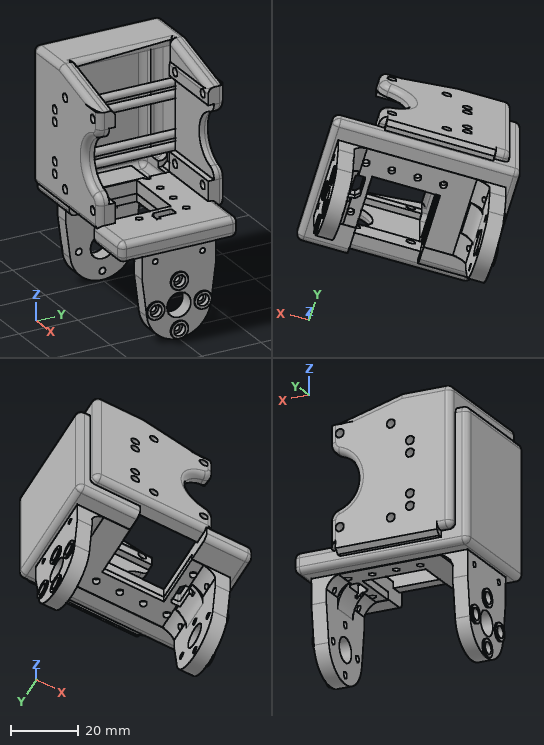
import cadquery as cq
import math


round_radius = 2.0
grid = 8.0
through = 200.0
tolerance = 0.01
mostly_along = 0.9
straight_along = 0.999

base_half_x = 29.0
base_half_y = 18.5
base_bottom = 19.2
base_top = 26.0

box_top = 63.0
box_right = -20.0

shell_left = -25.0
shell_right = 15.4
shell_half_y = 21.5
shell_bottom = 24.0
shell_top = 69.45
slope_start = -8.4
arm_inner_y = 16.0

cheek_inner_y = 15.75
recess_depth = 2.0
mount_left = -20.3
mount_top = box_top
lower_rib_bottom = 22.0
lower_rib_chamfer = 1.5

servo_z = 45.0
notch_radius = 9.2
skin_depth = 2.4
notch_half_height = 12.4
notch_corner_radius = (notch_half_height**2 - notch_radius**2) / (2 * notch_radius)
side_hole_diameter = 2.7
servo_hole_x = (-5.0, 12.0)
servo_hole_offset_z = 15.0
pair_hole_x = -11.35
pair_center_z = 43.05
pair_offsets_z = (-10.5, -6.5, 6.5, 10.5)

window_left = -8.0
window_right = 13.0
window_back = 4.4
plate_hole_diameter = 2.1
plate_holes = [(-grid, grid), (0, grid), (grid, grid), (2 * grid, grid), (2 * grid, -grid)]

slot_left = 14.75
slot_right = 17.9
slot_back = 3.6
slot_front = -3.6
slot_corner_radius = 0.6
slot_chamfer = 1.2
slot_branch_right = 18.95
slot_branch_back = -2.3

bracket_half_x = 26.0
bracket_half_y = 12.5
bracket_bottom = 19.0
bracket_plate = 2.6
leg_thickness = 5.0
leg_taper_top = 11.0
leg_end_radius = 11.0
corner_size = 4.0
corner_arc_radius = 6.0
rib_half_y = 5.0
rib_drop = 7.5
rib_reach = 3.8
rib_bulge = (1.3, 2.8)
hinge_diameter = 8.0
leg_hole_diameter = 1.7
leg_hole_z = 2 * grid
boss_diameter = 5.8
boss_height = 0.5
counterbore_diameter = 3.8
counterbore_depth = 2.0
screw_diameter = 2.1


def block(x0, x1, y0, y1, z0, z1):
    return cq.Workplane("XY").box(x1 - x0, y1 - y0, z1 - z0, centered=False).translate((x0, y0, z0))


def z_holes(points, diameter):
    return cq.Workplane("XY").pushPoints(points).circle(diameter / 2).extrude(through)


def y_holes(points, diameter):
    return cq.Workplane("XZ").pushPoints(points).circle(diameter / 2).extrude(through / 2, both=True)


def x_holes(points, diameter):
    return cq.Workplane("YZ").pushPoints(points).circle(diameter / 2).extrude(through / 2, both=True)


def plate_openings():
    """Window and cable slot that pass through both the housing floor and the bracket plate."""
    window = block(window_left, window_right, -through, window_back, 0, base_top)
    slot = block(slot_left, slot_right, slot_front, slot_back, 0, base_top)
    slot = slot.edges("|Z and >Y").fillet(slot_corner_radius)
    slot = slot.edges("|Z and <X and <Y").chamfer(slot_chamfer)
    branch = block(slot_right, slot_branch_right, slot_front, slot_branch_back, 0, base_top)
    return window.union(slot).union(branch)


def mirror_y(body):
    return body.mirror("XZ")


def shell():
    """Rounded block opened from the +X side into two arms with sloping tops."""
    outline = [
        (shell_left, shell_bottom),
        (shell_right, shell_bottom),
        (shell_right, mount_top),
        (slope_start, shell_top),
        (shell_left, shell_top),
    ]
    body = cq.Workplane("XZ").polyline(outline).close().extrude(shell_half_y, both=True)
    outer_edges = body.faces("<X or >Y or <Y").edges()
    body = outer_edges.filter(lambda edge: edge.Center().x < shell_right - round_radius).fillet(round_radius)

    body = body.cut(block(slope_start, through, -arm_inner_y, arm_inner_y, 0, through))

    def on_arm_rim(edge):
        center = edge.Center()
        on_wall = abs(abs(center.y) - arm_inner_y) < tolerance
        return on_wall and center.z > mount_top and abs(edge.tangentAt(0.5).x) > mostly_along

    body = body.edges().filter(on_arm_rim).fillet(round_radius)
    return body.cut(opening_rim())


def opening_rim():
    """Material between a sharp and a rounded rim along the back of the opening, mitred at its corners."""
    flare = arm_inner_y + round_radius
    along_y = (
        cq.Workplane("XZ")
        .moveTo(slope_start, shell_top)
        .lineTo(slope_start - round_radius, shell_top)
        .radiusArc((slope_start, shell_top - round_radius), round_radius)
        .close()
        .extrude(flare, both=True)
    )
    flared_opening = (
        cq.Workplane("YZ")
        .moveTo(-flare, shell_top)
        .radiusArc((-arm_inner_y, shell_top - round_radius), round_radius)
        .lineTo(arm_inner_y, shell_top - round_radius)
        .radiusArc((flare, shell_top), round_radius)
        .close()
        .extrude(through / 2, both=True)
    )
    return along_y.intersect(flared_opening)


def notch():
    """Round bite in the arm ends, blended into the end face by two corner arcs."""
    corner_share = notch_radius / (notch_radius + notch_corner_radius)
    blend_x = shell_right - notch_corner_radius * corner_share
    blend_z = notch_half_height * corner_share
    half_turn = math.atan2(notch_half_height, notch_corner_radius) / 2
    corner_x = shell_right - notch_corner_radius * (1 - math.cos(half_turn))
    corner_z = notch_half_height - notch_corner_radius * math.sin(half_turn)
    return (
        cq.Workplane("XZ", origin=(0, 0, servo_z))
        .moveTo(shell_right, notch_half_height)
        .threePointArc((corner_x, corner_z), (blend_x, blend_z))
        .threePointArc((shell_right - notch_radius, 0), (blend_x, -blend_z))
        .threePointArc((corner_x, -corner_z), (shell_right, -notch_half_height))
        .close()
        .extrude(through / 2, both=True)
    )


def servo_mount():
    """Flat cheek on the -Y arm; its outer end edge is rounded along the notch."""
    cheek = block(mount_left, shell_right, -shell_half_y, -cheek_inner_y, shell_bottom, mount_top)
    cheek = cheek.edges(">Y and >Z").fillet(round_radius)
    cheek = cheek.cut(notch())
    end_edges = cheek.faces("<Y").edges().filter(
        lambda edge: edge.Center().x > mount_left + tolerance and abs(edge.tangentAt(0.5).x) < straight_along)
    bottom_edge = cheek.edges("<Y and <Z")
    return cheek.newObject(end_edges.vals() + bottom_edge.vals()).fillet(round_radius)


def base():
    """Rounded floor plate, wider towards -Y at its +X end, and the tall box at its -X end."""
    floor = block(-base_half_x, base_half_x, -base_half_y, base_half_y, base_bottom, base_top)
    wide = block(0, base_half_x, -shell_half_y, base_half_y, base_bottom, base_top)
    box = block(-base_half_x, box_right, -base_half_y, base_half_y, base_bottom, box_top)
    body = floor.edges().fillet(round_radius)
    body = body.union(wide.edges().fillet(round_radius))
    return body.union(box.edges("<X or >Z or <Z or <Y or >Y").fillet(round_radius))


def lower_rib():
    """Chamfered rib under the +Y arm."""
    rib = block(mount_left, shell_right - round_radius, arm_inner_y, shell_half_y,
                lower_rib_bottom, shell_bottom + round_radius)
    return rib.edges(">Y and <Z").chamfer(lower_rib_chamfer)


def bracket_recess():
    """Space under the floor plate that the bracket plate fills."""
    return block(-bracket_half_x, bracket_half_x, -bracket_half_y, bracket_half_y,
                 bracket_bottom, bracket_bottom + bracket_plate)


def make_housing():
    arms = shell()
    skin_left = shell_right - notch_radius - 2 * round_radius
    skin_y = shell_half_y - skin_depth
    skin = block(skin_left, shell_right, -shell_half_y, -skin_y, 0, mount_top)
    arms = arms.cut(skin).cut(mirror_y(skin))
    arms = arms.cut(notch())
    cheek = servo_mount()
    floor = base().cut(plate_openings()).cut(z_holes(plate_holes, plate_hole_diameter))
    body = arms.union(cheek).union(mirror_y(cheek)).union(floor).union(lower_rib())
    recess_y = cheek_inner_y + recess_depth
    body = body.cut(block(slope_start, shell_right, -recess_y, recess_y,
                          servo_z - notch_half_height, servo_z + notch_half_height))
    servo_holes = [(x, servo_z + side * servo_hole_offset_z) for x in servo_hole_x for side in (-1, 1)]
    pair_holes = [(pair_hole_x, pair_center_z + offset) for offset in pair_offsets_z]
    body = body.cut(y_holes(servo_holes + pair_holes, side_hole_diameter))
    return body.cut(bracket_recess())


def leg():
    """Leg on the +X side: tapered plate with a round end about the hinge axis."""
    taper_rise = math.hypot(bracket_half_y, leg_taper_top)
    taper_angle = math.acos(leg_end_radius / taper_rise) - math.atan2(leg_taper_top, bracket_half_y)
    tangent_y = leg_end_radius * math.cos(taper_angle)
    tangent_z = -leg_end_radius * math.sin(taper_angle)
    top = bracket_bottom + bracket_plate
    body = (
        cq.Workplane("YZ", origin=(bracket_half_x - leg_thickness, 0, 0))
        .moveTo(-bracket_half_y, top)
        .lineTo(-bracket_half_y, leg_taper_top)
        .lineTo(-tangent_y, tangent_z)
        .threePointArc((0, -leg_end_radius), (tangent_y, tangent_z))
        .lineTo(bracket_half_y, leg_taper_top)
        .lineTo(bracket_half_y, top)
        .close()
        .extrude(leg_thickness)
    )
    screws = [(grid, 0), (-grid, 0), (0, grid), (0, -grid)]
    outer = cq.Workplane("YZ", origin=(bracket_half_x, 0, 0)).pushPoints(screws)
    body = body.union(outer.circle(boss_diameter / 2).extrude(boss_height))
    sink = cq.Workplane("YZ", origin=(bracket_half_x + boss_height, 0, 0)).pushPoints(screws)
    body = body.cut(sink.circle(counterbore_diameter / 2).extrude(-counterbore_depth))
    return body.cut(x_holes(screws, screw_diameter)).cut(x_holes([(0, 0)], hinge_diameter))


def inner_corner():
    """Curved fill between the +X leg and the plate, with a longer rib in its middle."""
    inner = bracket_half_x - leg_thickness
    fill = (
        cq.Workplane("XZ")
        .moveTo(inner, bracket_bottom)
        .lineTo(inner - corner_size, bracket_bottom)
        .radiusArc((inner, bracket_bottom - corner_size), corner_arc_radius)
        .close()
        .extrude(bracket_half_y, both=True)
    )
    rib = (
        cq.Workplane("XZ")
        .moveTo(inner, bracket_bottom)
        .lineTo(inner - rib_reach, bracket_bottom)
        .threePointArc((inner - rib_bulge[0], bracket_bottom - rib_bulge[1]), (inner, bracket_bottom - rib_drop))
        .close()
        .extrude(rib_half_y, both=True)
    )
    return fill.union(rib)


def make_bracket():
    side = leg().union(inner_corner())
    body = bracket_recess().union(side).union(side.mirror("YZ"))
    leg_holes = [(grid, leg_hole_z), (-grid, leg_hole_z)]
    body = body.cut(x_holes(leg_holes, leg_hole_diameter))
    return body.cut(plate_openings()).cut(z_holes(plate_holes, plate_hole_diameter))


housing = make_housing()
bracket = make_bracket()
result = cq.Compound.makeCompound([housing.val(), bracket.val()])